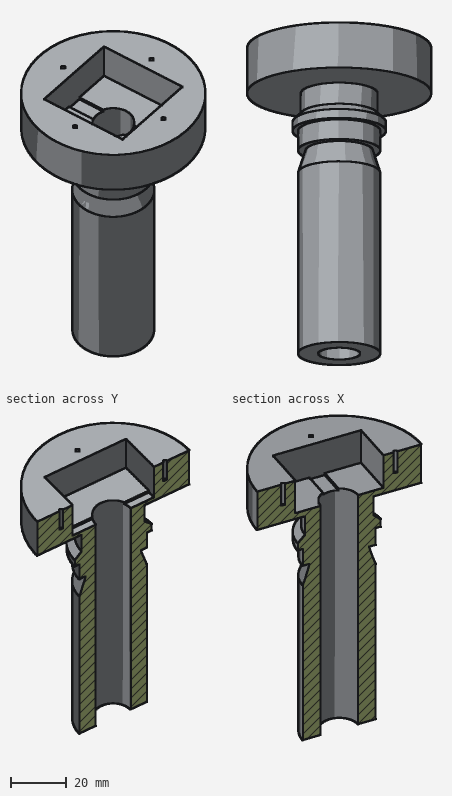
import cadquery as cq

total_height = 113.8
flange_diameter = 66.0
flange_height = 16.8
neck_diameter = 27.5
neck_height = 7.9
collar_diameter = 33.5
collar_chamfer_height = 2.8
collar_rim_height = 3.3
shank_diameter = 29.5
shoulder_height = 7.3
groove_diameter = 24.1
groove_height = 8.3

pocket_side = 35.3
pocket_depth = 14.1
slot_width = 6.1
slot_depth = 0.8
bore_diameter = 15.0
screw_hole_diameter = 1.5
screw_circle_diameter = 45.1
screw_hole_depth = 9.1
screw_count = 4

flange_bottom = -flange_height
neck_bottom = flange_bottom - neck_height
rim_top = neck_bottom - collar_chamfer_height
rim_bottom = rim_top - collar_rim_height
groove_top = rim_bottom - shoulder_height
groove_bottom = groove_top - groove_height


def turned_body():
    """Revolve the half profile, with R along X and height along Z."""
    flange_radius = flange_diameter / 2
    neck_radius = neck_diameter / 2
    collar_radius = collar_diameter / 2
    shank_radius = shank_diameter / 2
    groove_radius = groove_diameter / 2
    profile = (
        cq.Workplane("XZ")
        .moveTo(0, 0)
        .lineTo(flange_radius, 0)
        .lineTo(flange_radius, flange_bottom)
        .lineTo(neck_radius, flange_bottom)
        .lineTo(neck_radius, neck_bottom)
        .lineTo(collar_radius, rim_top)
        .lineTo(collar_radius, rim_bottom)
        .lineTo(shank_radius, rim_bottom)
        .lineTo(shank_radius, groove_top)
        .lineTo(groove_radius, groove_top)
        .lineTo(shank_radius, groove_bottom)
        .lineTo(shank_radius, -total_height)
        .lineTo(0, -total_height)
        .close()
    )
    return profile.revolve(360, (0, 0, 0), (0, 1, 0))


def square_pocket():
    """Square recess in the top face with a shallow slot along X in its floor."""
    pocket = cq.Workplane("XY").rect(pocket_side, pocket_side).extrude(-pocket_depth)
    slot = cq.Workplane("XY").rect(pocket_side, slot_width).extrude(-(pocket_depth + slot_depth))
    return pocket.union(slot)


def through_bore():
    """Central bore through the whole height."""
    return cq.Workplane("XY").circle(bore_diameter / 2).extrude(-total_height)


def screw_holes():
    """Blind holes on the X and Y axes around the pocket."""
    return (
        cq.Workplane("XY")
        .polarArray(screw_circle_diameter / 2, 0, 360, screw_count)
        .circle(screw_hole_diameter / 2)
        .extrude(-screw_hole_depth)
    )


result = turned_body().cut(square_pocket()).cut(through_bore()).cut(screw_holes())